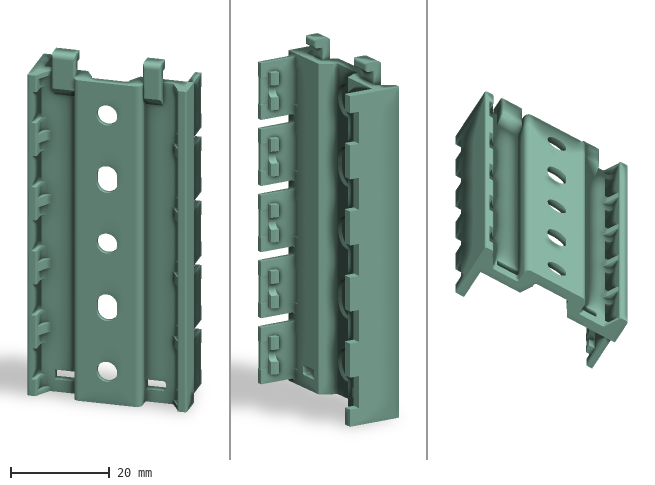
import cadquery as cq

LENGTH = 70.0
HALF_WIDTH = 33.55 / 2
WALL = 2.0
WALL_HEIGHT = 12.0
WALL_INNER = HALF_WIDTH - WALL
WEB_BOTTOM = 3.5
WEB_TOP = 5.4
FOOT_FILLET = 0.45
WALL_ROOT_FILLET = 1.15

CHANNEL_HALF = 7.15
CHANNEL_FLOOR = 2.0
CHANNEL_TOP_HALF = 5.5
CHANNEL_NECK_HALF = 4.0
CHANNEL_NECK_TOP = 2.9
CHANNEL_OUTER_FILLET = 1.2
CHANNEL_ROOT_FILLET = 0.4
CHANNEL_FLOOR_FILLET = 0.55
CHANNEL_RIM_FILLET = 0.3

PITCH = 14.0
CELLS = round(LENGTH / PITCH)
CELL_CENTERS = [PITCH * (i + 0.5) for i in range(CELLS)]
CELL_BORDERS = [PITCH * i for i in range(CELLS + 1)]

HOLE_DIAMETER = 4.35
OBLONG_LENGTH = 5.8
COUNTERBORE_DIAMETER = 6.9
COUNTERBORE_BOTTOM = 1.1

RIB_WIDTH = 2.0
RIB_TIP_X = 13.0
RIB_FOOT_Y = 0.55
RIB_TIP_FILLET = 0.6

NOTCH_LENGTH = 6.8
NOTCH_FLOOR = 9.85
POCKET_X = 15.9
POCKET_TOP = WEB_TOP

TAB_LENGTH = 12.0
TAB_THICKNESS = 1.3
TAB_TOP = 13.25
TAB_BASE_FILLET = 0.55
TAB_MIDDLE_LENGTH = 5.8
TAB_MIDDLE_TOP = 13.1
TAB_LEAD_IN = 0.45
BARB_LENGTH = 7.9
BARB_X = 13.35
BARB_BOTTOM = 9.9
BARB_TOP = 11.6
BARB_CHAMFER_X = 0.35
BARB_CHAMFER_Y = 0.7
BARB_RELIEF_RADIUS = 1.3
SLOT_X = 13.4

LEFT_HOOK = (-12.05, -CHANNEL_HALF)
RIGHT_HOOK = (CHANNEL_HALF, 10.9)
HOOK_TOP = 74.6
HOOK_FRONT = 1.35
HOOK_BACK = 3.4
HOOK_TIP = 5.2
HOOK_TIP_BOTTOM = 72.7
HOOK_ROOT = 65.0
HOOK_ROOT_FRONT = 67.05
HOOK_TOP_FILLET = 1.1
HOOK_SIDE_FILLET = 0.5
HOOK_TIP_FILLET = 0.5
LEFT_WINDOW = LEFT_HOOK
RIGHT_WINDOW = (CHANNEL_HALF, 11.4)
WINDOW_BOTTOM = 2.7
WINDOW_TOP = 4.8
WINDOW_FILLET = 0.5

SELECT_MARGIN = 0.01


def box(x_range, y_range, z_range):
    """Box between the given limits on each axis."""
    size = [b - a for a, b in (x_range, y_range, z_range)]
    return cq.Workplane("XY").box(*size, centered=False).translate((x_range[0], y_range[0], z_range[0]))


def span(center, length):
    return (center - length / 2, center + length / 2)


def long_edges(points):
    """Selectors of the edges parallel to Z that pass through the given (x, y) points."""
    selector = None
    for x, y in points:
        low_corner = (x - SELECT_MARGIN, y - SELECT_MARGIN, 0)
        high_corner = (x + SELECT_MARGIN, y + SELECT_MARGIN, LENGTH)
        near = cq.selectors.BoxSelector(low_corner, high_corner)
        selector = near if selector is None else selector + near
    return selector


def mirrored(x, y):
    return [(-x, y), (x, y)]


def make_rail():
    outline = [
        (-HALF_WIDTH, WALL_HEIGHT),
        (-HALF_WIDTH, 0),
        (-WALL_INNER, 0),
        (-WALL_INNER, WEB_BOTTOM),
        (-CHANNEL_HALF, WEB_BOTTOM),
        (-CHANNEL_HALF, 0),
        (CHANNEL_HALF, 0),
        (CHANNEL_HALF, WEB_BOTTOM),
        (WALL_INNER, WEB_BOTTOM),
        (WALL_INNER, 0),
        (HALF_WIDTH, 0),
        (HALF_WIDTH, WEB_TOP),
        (CHANNEL_TOP_HALF, WEB_TOP),
        (CHANNEL_NECK_HALF, CHANNEL_NECK_TOP),
        (CHANNEL_NECK_HALF, CHANNEL_FLOOR),
        (-CHANNEL_NECK_HALF, CHANNEL_FLOOR),
        (-CHANNEL_NECK_HALF, CHANNEL_NECK_TOP),
        (-CHANNEL_TOP_HALF, WEB_TOP),
        (-WALL_INNER, WEB_TOP),
        (-WALL_INNER, WALL_HEIGHT),
    ]
    rail = cq.Workplane("XY").polyline(outline).close().extrude(LENGTH)
    fillets = [
        (FOOT_FILLET, mirrored(HALF_WIDTH, 0) + mirrored(WALL_INNER, 0)),
        (WALL_ROOT_FILLET, mirrored(WALL_INNER, WEB_BOTTOM)),
        (CHANNEL_OUTER_FILLET, mirrored(CHANNEL_HALF, 0)),
        (CHANNEL_ROOT_FILLET, mirrored(CHANNEL_HALF, WEB_BOTTOM)),
        (CHANNEL_FLOOR_FILLET, mirrored(CHANNEL_NECK_HALF, CHANNEL_FLOOR)),
        (CHANNEL_RIM_FILLET, mirrored(CHANNEL_TOP_HALF, WEB_TOP)),
    ]
    for radius, points in fillets:
        rail = rail.edges(long_edges(points)).fillet(radius)
    return rail


def make_opening(index, z, diameter, bottom):
    """Round (even index) or oblong (odd index) cutter reaching from `bottom` to the web top."""
    sketch = cq.Workplane("XZ", origin=(0, bottom, z))
    height = WEB_TOP - bottom
    if index % 2 == 0:
        return sketch.circle(diameter / 2).extrude(-height)
    length = OBLONG_LENGTH - HOLE_DIAMETER + diameter
    return sketch.slot2D(length, diameter, 90).extrude(-height)


def make_hole(index, z):
    """Mounting hole with a counterbore sunk into the channel floor."""
    hole = make_opening(index, z, HOLE_DIAMETER, 0)
    return hole.union(make_opening(index, z, COUNTERBORE_DIAMETER, COUNTERBORE_BOTTOM))


def make_rib(z):
    """Right-hand rib; it reaches into the wall and web so that it fuses with them."""
    outline = [
        (HALF_WIDTH - WALL / 2, RIB_FOOT_Y),
        (WALL_INNER, RIB_FOOT_Y),
        (RIB_TIP_X, WEB_BOTTOM),
        (RIB_TIP_X - RIB_TIP_FILLET, WEB_BOTTOM),
        (RIB_TIP_X - RIB_TIP_FILLET, WEB_TOP),
        (HALF_WIDTH - WALL / 2, WEB_TOP),
    ]
    bottom, top = span(z, RIB_WIDTH)
    bottom = max(bottom, 0)
    top = min(top, LENGTH)
    rib = cq.Workplane("XY").polyline(outline).close().extrude(top - bottom)
    rib = rib.edges(long_edges([(RIB_TIP_X, WEB_BOTTOM)])).fillet(RIB_TIP_FILLET)
    return rib.translate((0, 0, bottom))


def make_wall_notch(z):
    """Rim notch and foot pocket of the left wall."""
    z_range = span(z, NOTCH_LENGTH)
    notch = box((-HALF_WIDTH, -WALL_INNER), (NOTCH_FLOOR, WALL_HEIGHT), z_range)
    pocket = box((-POCKET_X, -WALL_INNER), (0, POCKET_TOP), z_range)
    root_fillet = box((-WALL_INNER, -WALL_INNER + WALL_ROOT_FILLET), (0, WEB_BOTTOM), z_range)
    return notch.union(pocket).union(root_fillet)


def make_tab(z):
    """Snap tab with a flared base, a lead-in at its middle and a barb on its inner face."""
    outer = WALL_INNER + TAB_THICKNESS
    base = box((SLOT_X, HALF_WIDTH), (WEB_BOTTOM, WEB_TOP), span(z, PITCH))
    bottom, top = span(z, TAB_LENGTH)
    tab = base.union(box((WALL_INNER, outer), (WEB_TOP, TAB_TOP), (bottom, top)))
    base_edges = cq.selectors.BoxSelector(
        (WALL_INNER - SELECT_MARGIN, WEB_TOP - SELECT_MARGIN, bottom - SELECT_MARGIN),
        (outer + SELECT_MARGIN, WEB_TOP + SELECT_MARGIN, top + SELECT_MARGIN),
    )
    tab = tab.edges(base_edges).fillet(TAB_BASE_FILLET)

    lead_in = (
        cq.Workplane("XY")
        .moveTo(WALL_INNER, BARB_TOP)
        .lineTo(WALL_INNER + TAB_LEAD_IN, TAB_MIDDLE_TOP)
        .lineTo(outer, TAB_MIDDLE_TOP)
        .lineTo(outer, TAB_TOP)
        .lineTo(WALL_INNER, TAB_TOP)
        .close()
        .extrude(TAB_MIDDLE_LENGTH)
        .translate((0, 0, z - TAB_MIDDLE_LENGTH / 2))
    )
    barb = (
        cq.Workplane("XY")
        .moveTo(outer, BARB_BOTTOM)
        .lineTo(BARB_X, BARB_BOTTOM)
        .lineTo(BARB_X, BARB_TOP - BARB_CHAMFER_Y)
        .lineTo(BARB_X + BARB_CHAMFER_X, BARB_TOP)
        .lineTo(outer, BARB_TOP)
        .close()
        .extrude(BARB_LENGTH)
        .translate((0, 0, z - BARB_LENGTH / 2))
    )
    relief = cq.Workplane("XZ").center(BARB_X, z).circle(BARB_RELIEF_RADIUS).extrude(-TAB_TOP)
    return tab.cut(lead_in).union(barb.cut(relief))


def make_barb_slot(z):
    """Opening in the web below a barb."""
    return box((SLOT_X, WALL_INNER), (0, BARB_BOTTOM), span(z, BARB_LENGTH))


def make_hook(x_range):
    """Hook shaped as the overlap of its side profile and its rounded plan, so the corners miter."""
    left, right = x_range
    web_middle = (WEB_BOTTOM + WEB_TOP) / 2
    profile = (
        cq.Workplane("YZ")
        .moveTo(HOOK_FRONT, HOOK_ROOT_FRONT)
        .lineTo(HOOK_FRONT, HOOK_TOP)
        .lineTo(HOOK_TIP, HOOK_TOP)
        .lineTo(HOOK_TIP, HOOK_TIP_BOTTOM)
        .lineTo(HOOK_BACK, HOOK_TIP_BOTTOM)
        .lineTo(HOOK_BACK, LENGTH)
        .lineTo(web_middle, LENGTH)
        .lineTo(web_middle, HOOK_ROOT)
        .lineTo(WEB_BOTTOM, HOOK_ROOT)
        .close()
        .extrude(right - left)
        .translate((left, 0, 0))
    )
    profile = profile.faces(">Z").edges("<Y").fillet(HOOK_TOP_FILLET)
    profile = profile.faces(">Y").edges("|X").fillet(HOOK_TIP_FILLET)
    plan = box(x_range, (HOOK_FRONT, HOOK_TIP), (HOOK_ROOT, HOOK_TOP))
    plan = plan.edges("|Z and <Y").fillet(HOOK_SIDE_FILLET)
    plan = plan.edges("|Z and >Y").fillet(HOOK_TIP_FILLET)
    return profile.intersect(plan)


def make_window(x_range):
    return box(x_range, (0, WEB_TOP), (WINDOW_BOTTOM, WINDOW_TOP))


result = make_rail()
for cell, center in enumerate(CELL_CENTERS):
    result = result.union(make_tab(center))
    result = result.cut(make_barb_slot(center))
    result = result.cut(make_wall_notch(center))
    result = result.cut(make_hole(cell, center))
for border in CELL_BORDERS:
    rib = make_rib(border)
    result = result.union(rib).union(rib.mirror("YZ"))
for hook_range in (LEFT_HOOK, RIGHT_HOOK):
    result = result.union(make_hook(hook_range))
result = result.cut(make_window(LEFT_WINDOW))
result = result.cut(make_window(RIGHT_WINDOW).edges(">X and |Y").fillet(WINDOW_FILLET))